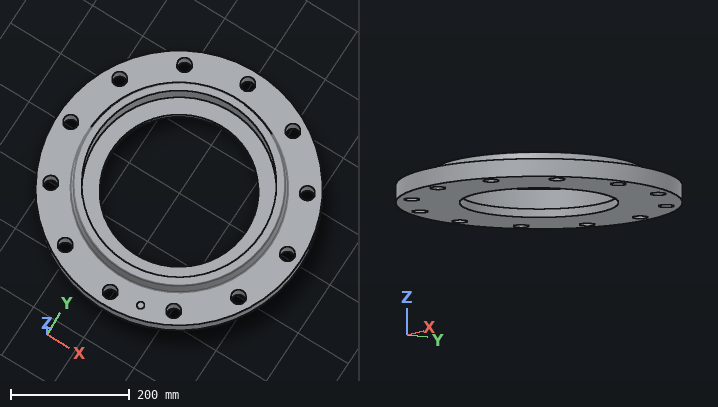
import cadquery as cq
import math

flange_diameter = 482.6
flange_thickness = 30.2
overall_height = 53.85

hub_base_diameter = 365.0
hub_top_diameter = 357.0
hub_base_fillet = 1.5
hub_top_fillet = 1.5

bore_diameter = 267.0
socket_diameter = 327.6
socket_floor_height = 14.2

bolt_count = 12
bolt_circle_diameter = 431.8
bolt_hole_diameter = 25.4

mark_diameter = 12.7
mark_depth = 0.3
mark_angle = -90.0 + 180.0 / bolt_count


def on_bolt_circle(angle):
    """Return the XY point at the given angle in degrees on the bolt circle."""
    radius = bolt_circle_diameter / 2
    return (radius * math.cos(math.radians(angle)), radius * math.sin(math.radians(angle)))


def make_flange():
    return cq.Workplane("XY").circle(flange_diameter / 2).extrude(flange_thickness)


def add_hub(body):
    """Add the tapered hub, rounded at its foot and along its top edge."""
    hub_profile = [
        (0, 0),
        (hub_base_diameter / 2, 0),
        (hub_base_diameter / 2, flange_thickness),
        (hub_top_diameter / 2, overall_height),
        (0, overall_height),
    ]
    hub = cq.Workplane("XZ").polyline(hub_profile).close().revolve(360, (0, 0, 0), (0, 1, 0))
    body = body.union(hub)
    foot_circle_rank = 1
    body = body.edges(cq.selectors.RadiusNthSelector(foot_circle_rank)).fillet(hub_base_fillet)
    return body.faces(">Z").edges().fillet(hub_top_fillet)


def cut_stepped_bore(body):
    bore = cq.Workplane("XY").circle(bore_diameter / 2).extrude(overall_height)
    socket = (
        cq.Workplane("XY", origin=(0, 0, socket_floor_height))
        .circle(socket_diameter / 2)
        .extrude(overall_height - socket_floor_height)
    )
    return body.cut(bore).cut(socket)


def cut_bolt_holes(body):
    points = [on_bolt_circle(index * 360 / bolt_count) for index in range(bolt_count)]
    holes = cq.Workplane("XY").pushPoints(points).circle(bolt_hole_diameter / 2).extrude(flange_thickness)
    return body.cut(holes)


def cut_mark(body):
    x, y = on_bolt_circle(mark_angle)
    mark = (
        cq.Workplane("XY", origin=(x, y, flange_thickness - mark_depth))
        .circle(mark_diameter / 2)
        .extrude(mark_depth)
    )
    return body.cut(mark)


result = make_flange()
result = add_hub(result)
result = cut_stepped_bore(result)
result = cut_bolt_holes(result)
result = cut_mark(result)